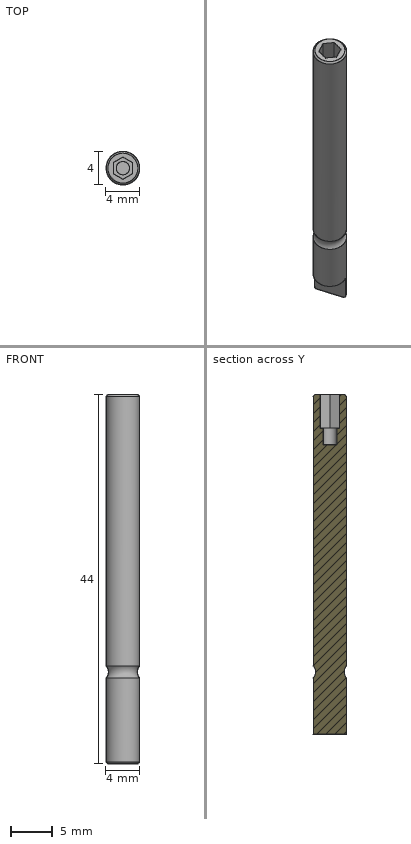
import cadquery as cq
import math

length = 44.0
diameter = 4.0
radius = diameter / 2
chamfer_width = 0.2
chamfer_height = 0.2

groove_center_z = 10.95
groove_width = 1.45
groove_depth = 0.25

step_height = 3.5

hex_across_flats = 2.3
hex_depth = 4.0
hole_diameter = 1.6
hole_depth = 6.0


def turned_body():
    """Revolve the chamfered half profile, including the groove."""
    end_radius = radius - chamfer_width
    return (
        cq.Workplane("XZ")
        .lineTo(end_radius, 0)
        .lineTo(radius, chamfer_height)
        .lineTo(radius, groove_center_z - groove_width / 2)
        .threePointArc(
            (radius - groove_depth, groove_center_z),
            (radius, groove_center_z + groove_width / 2),
        )
        .lineTo(radius, length - chamfer_height)
        .lineTo(end_radius, length)
        .lineTo(0, length)
        .close()
        .revolve(360, (0, 0, 0), (0, 1, 0))
    )


def end_step():
    """Block removing the +Y half of the lower end."""
    return cq.Workplane("XY").box(diameter, radius, step_height, centered=(True, False, False))


def hex_socket():
    """Hexagonal prism with flats facing +X and -X."""
    across_corners = hex_across_flats / math.cos(math.pi / 6)
    return (
        cq.Workplane("XY", origin=(0, 0, length))
        .transformed(rotate=(0, 0, 30))
        .polygon(6, across_corners)
        .extrude(-hex_depth)
    )


def blind_hole():
    """Round hole continuing below the socket floor."""
    return cq.Workplane("XY", origin=(0, 0, length)).circle(hole_diameter / 2).extrude(-hole_depth)


result = turned_body().cut(end_step()).cut(hex_socket()).cut(blind_hole())